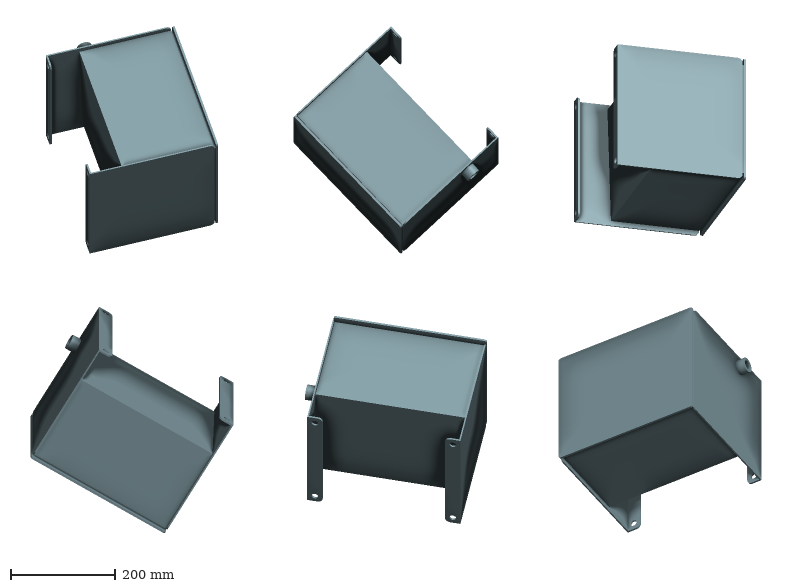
import cadquery as cq

total_length = 318.0
total_depth = 257.0
height = 250.0

boss_length = 18.0
side_thickness = 3.0
flange_thickness = 3.5
flange_width = 30.0
sheet_corner_radius = 10.0
hole_diameter = 13.0
hole_inset = 15.0

back_thickness = 4.0
back_corner_radius = 5.0
spacer_thickness = 3.0
spacer_inset = 13.0

box_inset = 10.0
box_setback = 66.5
box_front_lean = 7.0

boss_diameter = 30.0
bore_diameter = 18.8
boss_setback = 82.0
boss_drop = 27.0

width = total_length - boss_length
inner_width = width - 2 * side_thickness
back_plate_front = total_depth - back_thickness
side_depth = back_plate_front - spacer_thickness


def block(x, y, z, length, depth, tall):
    return cq.Workplane("XY").box(length, depth, tall, centered=False).translate((x, y, z))


def make_left_side():
    """Side sheet and front flange, with rounded free corners and mounting holes."""
    sheet = block(0, 0, 0, side_thickness, side_depth, height)
    sheet = sheet.edges("|X and >Y").fillet(sheet_corner_radius)
    flange = block(0, 0, 0, flange_width, flange_thickness, height)
    flange = flange.edges("|Y and >X").fillet(sheet_corner_radius)
    holes = (
        cq.Workplane("XZ")
        .pushPoints([(hole_inset, hole_inset), (hole_inset, height - hole_inset)])
        .circle(hole_diameter / 2)
        .extrude(-flange_thickness)
    )
    return sheet.union(flange.cut(holes))


def make_back_plate():
    plate = block(0, back_plate_front, 0, width, back_thickness, height)
    return plate.edges("|Y").fillet(back_corner_radius)


def make_spacer():
    return block(
        side_thickness, side_depth, spacer_inset,
        inner_width, spacer_thickness, height - 2 * spacer_inset,
    )


def make_box():
    """Box whose front face leans back towards its lower edge."""
    side_profile = [
        (box_setback, height - box_inset),
        (side_depth, height - box_inset),
        (side_depth, box_inset),
        (box_setback + box_front_lean, box_inset),
    ]
    return (
        cq.Workplane("YZ", origin=(side_thickness, 0, 0))
        .polyline(side_profile)
        .close()
        .extrude(inner_width)
    )


def boss_cylinder(diameter, start_x, end_x):
    return (
        cq.Workplane("YZ", origin=(start_x, boss_setback, height - boss_drop))
        .circle(diameter / 2)
        .extrude(end_x - start_x)
    )


left_side = make_left_side()
right_side = left_side.mirror("YZ").translate((width, 0, 0))

result = (
    left_side.union(right_side)
    .union(make_box())
    .union(make_spacer())
    .union(make_back_plate())
    .union(boss_cylinder(boss_diameter, -boss_length, 0))
    .cut(boss_cylinder(bore_diameter, -boss_length, side_thickness))
)